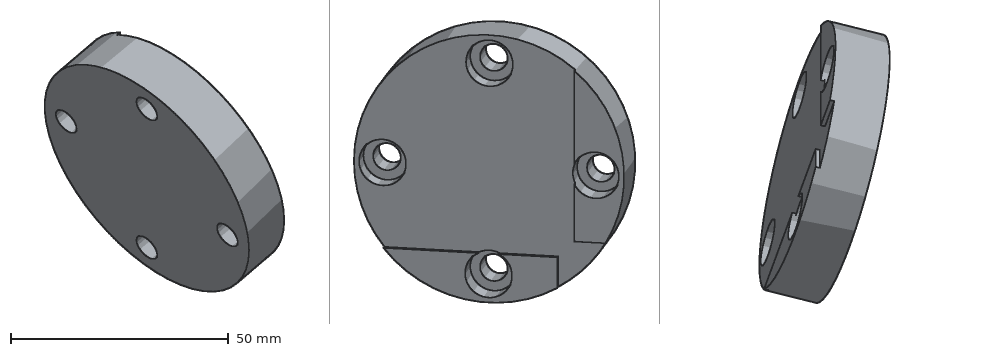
import cadquery as cq

disc_diameter = 63.5
total_depth = 13.0
pad_height = 1.0
pad_inner_edge = 20.05
pad_end = 16.05
hole_diameter = 6.4
hole_circle_radius = 25.0
counterbore_diameter = 11.0
counterbore_depth = 6.05

disc_radius = disc_diameter / 2
pad_base = total_depth / 2 - pad_height
disc_front = -total_depth / 2


def cylinder_along_y(diameter, start, length, x=0, z=0):
    """Cylinder running in +Y from the plane y = start."""
    return (
        cq.Workplane("XZ", origin=(x, start, z))
        .circle(diameter / 2)
        .extrude(-length)
    )


def block(x_min, x_max, z_min, z_max):
    """Pad-height block standing on the back face of the disc."""
    return cq.Workplane("XY").box(
        x_max - x_min, pad_height, z_max - z_min, centered=False
    ).translate((x_min, pad_base, z_min))


disc = cylinder_along_y(disc_diameter, disc_front, total_depth - pad_height)
pad_layer = cylinder_along_y(disc_diameter, pad_base, pad_height)
left_pad = pad_layer.intersect(block(-disc_radius, -pad_inner_edge, -pad_end, disc_radius))
bottom_pad = pad_layer.intersect(block(-pad_end, disc_radius, -disc_radius, -pad_inner_edge))
result = disc.union(left_pad).union(bottom_pad)

counterbore_floor = total_depth / 2 - counterbore_depth
for x_direction, z_direction in [(1, 0), (0, 1), (-1, 0), (0, -1)]:
    hole_x = x_direction * hole_circle_radius
    hole_z = z_direction * hole_circle_radius
    hole = cylinder_along_y(hole_diameter, disc_front, total_depth, hole_x, hole_z)
    counterbore = cylinder_along_y(
        counterbore_diameter, counterbore_floor, counterbore_depth, hole_x, hole_z
    )
    result = result.cut(hole).cut(counterbore)